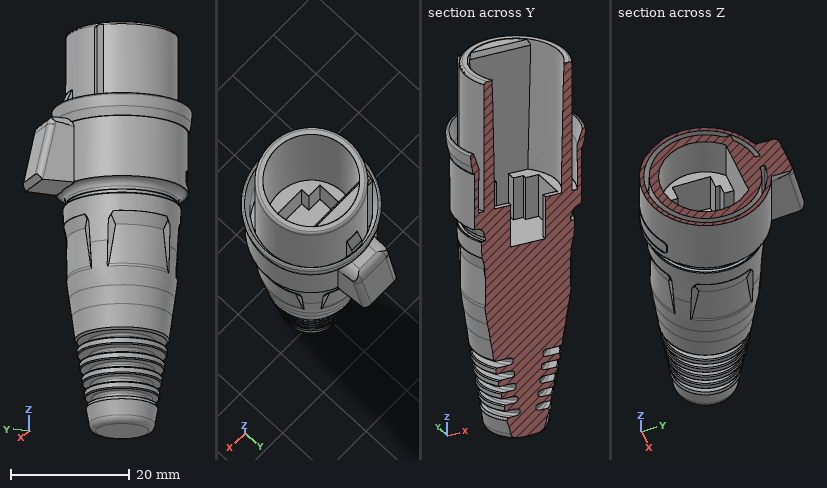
import cadquery as cq
import math

TOTAL_HEIGHT = 69.7
COLLAR_TOP = 56.4
FLARE_TOP = 54.06
COLLAR_BOTTOM = 52.5
BODY_BOTTOM = 41.85
NECK_BOTTOM = 40.0
GRIP_TOP = 39.3
GRIP_BREAK = 31.0
GRIP_SHOULDER = 23.2
GRIP_BAND = 20.0
GRIP_BOTTOM = 15.7
CAVITY_FLOOR = 45.0

BARREL_RADIUS = 9.58
BARREL_ROUND = 0.5
COLLAR_RADIUS = 11.93
COLLAR_ROUND = 0.3
FLARE_TOP_RADIUS = 11.73
COLLAR_BOTTOM_RADIUS = 11.38
BODY_RADIUS = 11.23
NECK_FILLET = 1.35
GROOVE_RADIUS = 9.35
GRIP_TOP_RADIUS = 10.05
GRIP_BREAK_RADIUS = 9.72
GRIP_MIDDLE = 26.5
GRIP_MIDDLE_RADIUS = 9.44
GRIP_SHOULDER_RADIUS = 9.0
GRIP_BAND_RADIUS = 8.55
GRIP_BOTTOM_RADIUS = 8.0
GRIP_LIP_CHAMFER = 0.15
GRIP_BOTTOM_CHAMFER = 0.35

RIB_COUNT = 4
RIB_HEIGHT = 1.25
FIRST_RIB_RADIUS = 7.68
RIB_RADIUS_STEP = 0.415
RIB_EDGE = 0.2
FIRST_GAP_RADIUS = 5.4
GAP_RADIUS_STEP = 0.15
GAP_FILLET = 0.4
CAP_RIM_RADIUS = 6.12
CAP_RIM_DROP = 0.55
CAP_TOP_RADIUS = 5.95
CAP_ROUND_START = 1.2
CAP_ROUND_START_RADIUS = 5.62
CAP_ROUND_MIDDLE = 0.3
CAP_ROUND_MIDDLE_RADIUS = 5.25
CAP_FLAT_RADIUS = 4.5

BORE_TOP_RADIUS = 8.2
BORE_FLOOR_RADIUS = 7.8
KEY_FLAT_Y = 5.75
KEY_BEVEL_WIDTH = 0.45
KEY_BEVEL_HEIGHT = 1.0
KEY_SETBACK = 0.1

GAP_MOUTH_RADIUS = 11.32
GAP_INNER_RADIUS = 10.4
GAP_CONE_DEPTH = 3.0

SOCKET_DEPTH = 8.0
SOCKET_HALF_WIDTH = 6.0
SOCKET_TOP_Y = 3.15
SOCKET_BOTTOM_Y = -3.73
SOCKET_TAB_HALF_WIDTH = 3.27
SOCKET_TAB_Y = -5.38
SOCKET_STEP_HALF_WIDTH = 3.5
SOCKET_STEP_Y = 4.0
SOCKET_NECK_HALF_WIDTH = 1.6

SIDE_KEY_X = -7.35
SIDE_KEY_Y = 7.35
SIDE_KEY_ROOT = 5.8
SIDE_KEY_BEVEL = 0.4
RIB_KEY_WIDTH = 2.5
RIB_KEY_TOP = 59.0
RIB_KEY_SLOPE_BOTTOM = 56.5
RIB_KEY_Y = 10.7

LATCH_BOTTOM = 41.75
LATCH_TOP = 53.5
LATCH_ROOT_Y = 10.2
LATCH_TIP_Y = 16.77
LATCH_TIP_Z = 42.9
LATCH_TIP_BEVEL = 0.8
LATCH_SHOULDER_Y = 14.75
LATCH_SHOULDER_Z = 51.8
LATCH_BROW_Y = 14.3
LATCH_BROW_Z = 52.95
LATCH_CREST_Y = 13.3
LATCH_ROOT_HALF_WIDTH = 4.35
LATCH_TIP_HALF_WIDTH = 3.9
LATCH_ROUND = 1.2
LATCH_CORNER_ROUND = 2.3

LABEL_WIDTH = 12.4
LABEL_BOTTOM = 42.9
LABEL_TOP = 45.5
LABEL_ROUND = 0.7
LABEL_DEPTH = 0.1

RECESS_COUNT = 4
RECESS_FLOOR_RADIUS = 9.38
RECESS_BOTTOM = 26.4
RECESS_FLOOR_BOTTOM = 26.9
RECESS_FLOOR_TOP = 33.8
RECESS_TOP = 36.1
RECESS_TOP_RADIUS = 9.87
RECESS_BOTTOM_HALF_WIDTH = 5.4
RECESS_TOP_HALF_WIDTH = 4.0
RECESS_APEX_RADIUS = 9.1
RECESS_WINDOW_HALF_WIDTH = 5.6
RECESS_WINDOW_CORNER_Z = 34.7
RECESS_WINDOW_TOP_HALF_WIDTH = 4.85

CLEARANCE = 2.0


def rib_top(index):
    """Top of a boot rib, counted downward from the grip."""
    return GRIP_BOTTOM - RIB_HEIGHT - 2 * index * RIB_HEIGHT


def gap_profile(profile, index):
    """Run a filleted gap downward, ending on the top face of the next rib."""
    radius = FIRST_GAP_RADIUS - index * GAP_RADIUS_STEP
    bottom = rib_top(index)
    top = bottom + RIB_HEIGHT
    sag = GAP_FILLET * (1 - math.sqrt(0.5))
    return (
        profile.lineTo(radius + GAP_FILLET, top)
        .threePointArc((radius + sag, top - sag), (radius, top - GAP_FILLET))
        .lineTo(radius, bottom + GAP_FILLET)
        .threePointArc((radius + sag, bottom + sag), (radius + GAP_FILLET, bottom))
    )


def rib_profile(profile, index):
    """Run one bevel-edged boot rib downward."""
    radius = FIRST_RIB_RADIUS - index * RIB_RADIUS_STEP
    top = rib_top(index)
    bottom = top - RIB_HEIGHT
    return (
        profile.lineTo(radius - RIB_EDGE, top)
        .lineTo(radius, top - RIB_EDGE)
        .lineTo(radius, bottom + RIB_EDGE)
        .lineTo(radius - RIB_EDGE, bottom)
    )


def make_outer_body():
    """Turn the whole outside of the plug, without cavities."""
    barrel_sag = BARREL_ROUND * (1 - math.sqrt(0.5))
    collar_sag = COLLAR_ROUND * (1 - math.sqrt(0.5))
    neck_sag = NECK_FILLET * (1 - math.sqrt(0.5))
    collar_arc_z = (FLARE_TOP + COLLAR_TOP - COLLAR_ROUND) / 2
    collar_arc_radius = COLLAR_RADIUS - (COLLAR_RADIUS - FLARE_TOP_RADIUS) / 4
    profile = (
        cq.Workplane("XZ")
        .moveTo(0, TOTAL_HEIGHT)
        .lineTo(BARREL_RADIUS - BARREL_ROUND, TOTAL_HEIGHT)
        .threePointArc(
            (BARREL_RADIUS - barrel_sag, TOTAL_HEIGHT - barrel_sag),
            (BARREL_RADIUS, TOTAL_HEIGHT - BARREL_ROUND),
        )
        .lineTo(BARREL_RADIUS, COLLAR_TOP)
        .lineTo(COLLAR_RADIUS - COLLAR_ROUND, COLLAR_TOP)
        .threePointArc(
            (COLLAR_RADIUS - collar_sag, COLLAR_TOP - collar_sag),
            (COLLAR_RADIUS, COLLAR_TOP - COLLAR_ROUND),
        )
        .threePointArc((collar_arc_radius, collar_arc_z), (FLARE_TOP_RADIUS, FLARE_TOP))
        .lineTo(COLLAR_BOTTOM_RADIUS, COLLAR_BOTTOM)
        .lineTo(BODY_RADIUS, COLLAR_BOTTOM)
        .lineTo(BODY_RADIUS, BODY_BOTTOM)
        .lineTo(BARREL_RADIUS + NECK_FILLET, BODY_BOTTOM)
        .threePointArc(
            (BARREL_RADIUS + neck_sag, BODY_BOTTOM - neck_sag),
            (BARREL_RADIUS, BODY_BOTTOM - NECK_FILLET),
        )
        .lineTo(BARREL_RADIUS, NECK_BOTTOM)
        .lineTo(GROOVE_RADIUS, NECK_BOTTOM)
        .lineTo(GROOVE_RADIUS, GRIP_TOP)
        .lineTo(GRIP_TOP_RADIUS - GRIP_LIP_CHAMFER, GRIP_TOP)
        .lineTo(GRIP_TOP_RADIUS, GRIP_TOP - GRIP_LIP_CHAMFER)
        .lineTo(GRIP_BREAK_RADIUS, GRIP_BREAK)
        .threePointArc((GRIP_MIDDLE_RADIUS, GRIP_MIDDLE), (GRIP_SHOULDER_RADIUS, GRIP_SHOULDER))
        .lineTo(GRIP_BAND_RADIUS, GRIP_BAND)
        .lineTo(GRIP_BOTTOM_RADIUS, GRIP_BOTTOM + GRIP_BOTTOM_CHAMFER)
        .lineTo(GRIP_BOTTOM_RADIUS - GRIP_BOTTOM_CHAMFER, GRIP_BOTTOM)
    )
    for index in range(RIB_COUNT):
        profile = gap_profile(profile, index)
        profile = rib_profile(profile, index)
    profile = gap_profile(profile, RIB_COUNT)
    cap_top = rib_top(RIB_COUNT)
    return (
        profile.lineTo(CAP_TOP_RADIUS, cap_top)
        .lineTo(CAP_RIM_RADIUS, cap_top - CAP_RIM_DROP)
        .lineTo(CAP_ROUND_START_RADIUS, CAP_ROUND_START)
        .threePointArc((CAP_ROUND_MIDDLE_RADIUS, CAP_ROUND_MIDDLE), (CAP_FLAT_RADIUS, 0))
        .lineTo(0, 0)
        .close()
        .revolve(360, (0, 0, 0), (0, 1, 0))
    )


def make_bore():
    """Tapered barrel bore, cut off by the bevelled flat of the +Y key."""
    depth = TOTAL_HEIGHT - CAVITY_FLOOR
    draft = math.degrees(math.atan((BORE_TOP_RADIUS - BORE_FLOOR_RADIUS) / depth))
    bore = cq.Workplane(origin=(0, 0, TOTAL_HEIGHT)).circle(BORE_TOP_RADIUS).extrude(-depth, taper=draft)
    key_top = TOTAL_HEIGHT - KEY_SETBACK
    key = (
        cq.Workplane("YZ", origin=(-COLLAR_RADIUS, 0, 0))
        .moveTo(KEY_FLAT_Y, CAVITY_FLOOR)
        .lineTo(KEY_FLAT_Y, key_top - KEY_BEVEL_HEIGHT)
        .lineTo(KEY_FLAT_Y + KEY_BEVEL_WIDTH, key_top)
        .lineTo(COLLAR_RADIUS, key_top)
        .lineTo(COLLAR_RADIUS, CAVITY_FLOOR)
        .close()
        .extrude(2 * COLLAR_RADIUS)
    )
    return bore.cut(key)


def make_collar_gap():
    """Annular gap around the barrel, flared toward the mouth of the collar."""
    return (
        cq.Workplane("XZ")
        .moveTo(BARREL_RADIUS, COLLAR_TOP)
        .lineTo(GAP_MOUTH_RADIUS, COLLAR_TOP)
        .lineTo(GAP_INNER_RADIUS, COLLAR_TOP - GAP_CONE_DEPTH)
        .lineTo(GAP_INNER_RADIUS, CAVITY_FLOOR)
        .lineTo(BARREL_RADIUS, CAVITY_FLOOR)
        .close()
        .revolve(360, (0, 0, 0), (0, 1, 0))
    )


def make_socket():
    """Modular-jack opening in the bore floor: stepped latch side at +Y, tab at -Y."""
    right_half = [
        (SOCKET_NECK_HALF_WIDTH, KEY_FLAT_Y),
        (SOCKET_NECK_HALF_WIDTH, SOCKET_STEP_Y),
        (SOCKET_STEP_HALF_WIDTH, SOCKET_STEP_Y),
        (SOCKET_STEP_HALF_WIDTH, SOCKET_TOP_Y),
        (SOCKET_HALF_WIDTH, SOCKET_TOP_Y),
        (SOCKET_HALF_WIDTH, SOCKET_BOTTOM_Y),
        (SOCKET_TAB_HALF_WIDTH, SOCKET_BOTTOM_Y),
        (SOCKET_TAB_HALF_WIDTH, SOCKET_TAB_Y),
    ]
    left_half = [(-x, y) for x, y in reversed(right_half)]
    return (
        cq.Workplane(origin=(0, 0, CAVITY_FLOOR))
        .polyline(right_half + left_half)
        .close()
        .extrude(-SOCKET_DEPTH)
    )


def make_side_key():
    """Square-cornered key standing on the (-X, +Y) side of the barrel."""
    return (
        cq.Workplane(origin=(0, 0, CAVITY_FLOOR))
        .moveTo(SIDE_KEY_X, SIDE_KEY_ROOT)
        .lineTo(SIDE_KEY_X, SIDE_KEY_Y)
        .lineTo(-SIDE_KEY_ROOT, SIDE_KEY_Y)
        .lineTo(-SIDE_KEY_ROOT, SIDE_KEY_ROOT)
        .close()
        .extrude(TOTAL_HEIGHT - BARREL_ROUND - CAVITY_FLOOR)
        .faces(">Z")
        .edges(">Y")
        .chamfer(SIDE_KEY_BEVEL)
    )


def make_rib_key():
    """Sloped-top rib on the +Y side of the barrel, standing in the collar gap."""
    root_y = BARREL_RADIUS - BARREL_ROUND
    return (
        cq.Workplane("YZ", origin=(-RIB_KEY_WIDTH / 2, 0, 0))
        .moveTo(root_y, CAVITY_FLOOR)
        .lineTo(RIB_KEY_Y, CAVITY_FLOOR)
        .lineTo(RIB_KEY_Y, RIB_KEY_SLOPE_BOTTOM)
        .lineTo(BARREL_RADIUS, RIB_KEY_TOP)
        .lineTo(root_y, RIB_KEY_TOP)
        .close()
        .extrude(RIB_KEY_WIDTH)
    )


def make_latch():
    """Sloping thumb latch, narrowing slightly toward its rounded outer face, with an arched top."""
    side = (
        cq.Workplane("YZ", origin=(-LATCH_ROOT_HALF_WIDTH, 0, 0))
        .moveTo(LATCH_ROOT_Y, LATCH_BOTTOM)
        .lineTo(LATCH_TIP_Y - LATCH_TIP_BEVEL, LATCH_BOTTOM)
        .lineTo(LATCH_TIP_Y, LATCH_TIP_Z)
        .lineTo(LATCH_SHOULDER_Y, LATCH_SHOULDER_Z)
        .threePointArc((LATCH_BROW_Y, LATCH_BROW_Z), (LATCH_CREST_Y, LATCH_TOP))
        .lineTo(LATCH_ROOT_Y, LATCH_TOP)
        .close()
        .extrude(2 * LATCH_ROOT_HALF_WIDTH)
    )
    plan = (
        cq.Workplane(origin=(0, 0, LATCH_BOTTOM))
        .moveTo(-LATCH_ROOT_HALF_WIDTH, LATCH_ROOT_Y)
        .lineTo(LATCH_ROOT_HALF_WIDTH, LATCH_ROOT_Y)
        .lineTo(LATCH_TIP_HALF_WIDTH, LATCH_TIP_Y)
        .lineTo(-LATCH_TIP_HALF_WIDTH, LATCH_TIP_Y)
        .close()
        .extrude(LATCH_TOP - LATCH_BOTTOM)
    )
    latch = side.intersect(plan)
    outer_edges = cq.selectors.BoxSelector(
        (-LATCH_ROOT_HALF_WIDTH, LATCH_CREST_Y, LATCH_TIP_Z),
        (LATCH_ROOT_HALF_WIDTH, LATCH_TIP_Y, LATCH_TOP),
    )
    latch = latch.edges("not |X").edges(outer_edges).fillet(LATCH_ROUND)
    arch = (
        cq.Workplane("XZ", origin=(0, LATCH_TIP_Y, (LATCH_BOTTOM + LATCH_TOP) / 2))
        .rect(2 * LATCH_ROOT_HALF_WIDTH, LATCH_TOP - LATCH_BOTTOM)
        .extrude(LATCH_TIP_Y - LATCH_ROOT_Y)
        .edges(">Z and |Y")
        .fillet(LATCH_CORNER_ROUND)
    )
    return latch.intersect(arch)


def make_label_recess():
    """Shallow rounded rectangle sunk into the -Y side of the body."""
    height = LABEL_TOP - LABEL_BOTTOM
    window = (
        cq.Workplane("XZ", origin=(0, 0, LABEL_BOTTOM + height / 2))
        .rect(LABEL_WIDTH, height)
        .extrude(BODY_RADIUS + CLEARANCE)
        .edges("|Y")
        .fillet(LABEL_ROUND)
    )
    core = (
        cq.Workplane(origin=(0, 0, LABEL_BOTTOM - CLEARANCE))
        .circle(BODY_RADIUS - LABEL_DEPTH)
        .extrude(height + 2 * CLEARANCE)
    )
    return window.cut(core)


def recess_section(half_width, floor_edge_y):
    """Points of a finger recess at one height: shallow V with its apex toward the axis."""
    reach = GRIP_TOP_RADIUS
    flank_y = -RECESS_APEX_RADIUS + (RECESS_APEX_RADIUS - floor_edge_y) * reach / half_width
    far_y = -GRIP_TOP_RADIUS - CLEARANCE
    return [(0, -RECESS_APEX_RADIUS), (reach, flank_y), (reach, far_y), (-reach, far_y), (-reach, flank_y)]


def make_finger_recess():
    """Recess on the -Y side: round floor, sloped top and clipped upper corners."""
    outside = GRIP_TOP_RADIUS + CLEARANCE
    ring = (
        cq.Workplane("XZ")
        .moveTo(GRIP_MIDDLE_RADIUS, RECESS_BOTTOM)
        .lineTo(RECESS_FLOOR_RADIUS, RECESS_FLOOR_BOTTOM)
        .lineTo(RECESS_FLOOR_RADIUS, RECESS_FLOOR_TOP)
        .lineTo(RECESS_TOP_RADIUS, RECESS_TOP)
        .lineTo(outside, RECESS_TOP)
        .lineTo(outside, RECESS_BOTTOM)
        .close()
        .revolve(360, (0, 0, 0), (0, 1, 0))
    )
    sections = []
    for half_width in (RECESS_BOTTOM_HALF_WIDTH, RECESS_TOP_HALF_WIDTH):
        edge_y = math.sqrt(RECESS_FLOOR_RADIUS**2 - half_width**2)
        sections.append(recess_section(half_width, edge_y))
    flanks = (
        cq.Workplane(origin=(0, 0, RECESS_BOTTOM))
        .polyline(sections[0])
        .close()
        .workplane(offset=RECESS_TOP - RECESS_BOTTOM)
        .polyline(sections[1])
        .close()
        .loft(ruled=True)
    )
    window = (
        cq.Workplane("XZ")
        .moveTo(-RECESS_WINDOW_HALF_WIDTH, RECESS_BOTTOM)
        .lineTo(-RECESS_WINDOW_HALF_WIDTH, RECESS_WINDOW_CORNER_Z)
        .lineTo(-RECESS_WINDOW_TOP_HALF_WIDTH, RECESS_TOP)
        .lineTo(RECESS_WINDOW_TOP_HALF_WIDTH, RECESS_TOP)
        .lineTo(RECESS_WINDOW_HALF_WIDTH, RECESS_WINDOW_CORNER_Z)
        .lineTo(RECESS_WINDOW_HALF_WIDTH, RECESS_BOTTOM)
        .close()
        .extrude(outside)
    )
    return ring.intersect(flanks).intersect(window)


result = make_outer_body().union(make_latch())
result = result.cut(make_collar_gap())
result = result.union(make_side_key()).union(make_rib_key())
result = result.cut(make_bore()).cut(make_socket()).cut(make_label_recess())

finger_recess = make_finger_recess()
for recess_index in range(RECESS_COUNT):
    angle = 360 * recess_index / RECESS_COUNT
    result = result.cut(finger_recess.rotate((0, 0, 0), (0, 0, 1), angle))